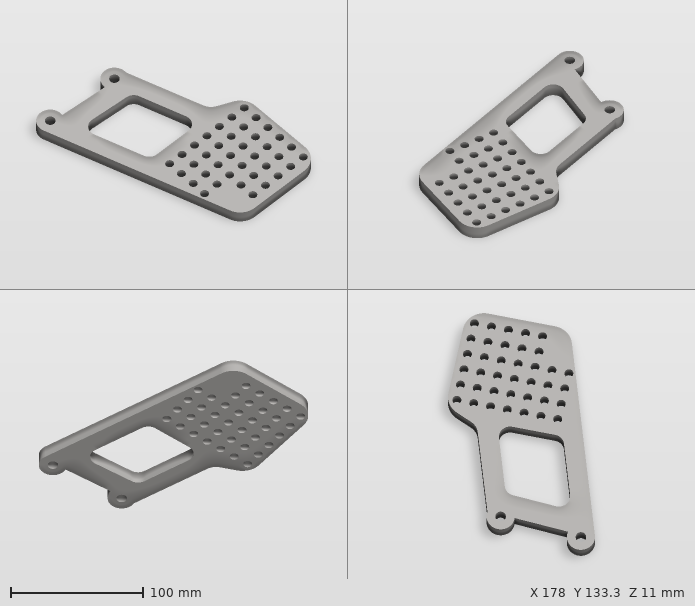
import cadquery as cq
import math

length = 178.0
width = 133.3
thickness = 11.0
slope = math.radians(18)

ear_radius = 10.7
ear_hole_diameter = 8.0
lower_ear = (ear_radius, ear_radius)
upper_ear = (15.0, 73.7)
lean = (upper_ear[0] - lower_ear[0]) / (upper_ear[1] - lower_ear[1])

left_edge_offset = 1.6
upper_edge_start = (upper_ear[0] + left_edge_offset, 84.2)
neck_corner = (85.0, 106.5)
head_corner = (96.8, width)
head_radius = 16.0
neck_radius = 12.5

window_offset = 19.5
window_right = 89.7
window_top_right = 91.8
window_bottom_right = 41.0
window_radius = 8.5

perforation_diameter = 6.8
first_column_x = 102.8
top_row_y = 125.8
column_pitch = 13.0
row_pitch = 13.0
wide_row_pitch = 13.2
middle_row_pitch = (row_pitch + wide_row_pitch) / 2
columns = [(7, row_pitch)] * 3 + [(7, middle_row_pitch)] + [(5, wide_row_pitch)] * 2


def ear_line_x(y):
    """X of the line through both ear centres at height y."""
    return lower_ear[0] + lean * (y - lower_ear[1])


def window_left_corner(right_y):
    """Where a sloped window side, ending at right_y on the right, meets the left side."""
    left_at_zero = ear_line_x(0) + window_offset
    rise = math.tan(slope)
    y = (right_y - rise * (window_right - left_at_zero)) / (1 - rise * lean)
    return (left_at_zero + lean * y, y)


def round_corner(body, corner, radius):
    """Round the vertical edge of body nearest to the given corner."""
    edge = cq.selectors.NearestToPointSelector((*corner, thickness / 2))
    return body.edges("|Z").edges(edge).fillet(radius)


def make_body():
    tangent = (
        lower_ear[0] + ear_radius * math.sin(slope),
        lower_ear[1] - ear_radius * math.cos(slope),
    )
    right_corner = (length, tangent[1] + (length - tangent[0]) * math.tan(slope))
    top_right = (length, width)
    outline = [
        tangent,
        right_corner,
        top_right,
        head_corner,
        neck_corner,
        upper_edge_start,
        (upper_ear[0] + left_edge_offset, upper_ear[1]),
        (lower_ear[0] + left_edge_offset, lower_ear[1]),
    ]
    body = cq.Workplane("XY").polyline(outline).close().extrude(thickness)
    for corner in (right_corner, top_right, head_corner):
        body = round_corner(body, corner, head_radius)
    body = round_corner(body, neck_corner, neck_radius)
    ears = cq.Workplane("XY").pushPoints([lower_ear, upper_ear]).circle(ear_radius).extrude(thickness)
    return body.union(ears)


def make_window():
    outline = [
        (window_right, window_bottom_right),
        (window_right, window_top_right),
        window_left_corner(window_top_right),
        window_left_corner(window_bottom_right),
    ]
    window = cq.Workplane("XY").polyline(outline).close().extrude(thickness)
    return window.edges("|Z").fillet(window_radius)


def make_holes(points, diameter):
    return cq.Workplane("XY").pushPoints(points).circle(diameter / 2).extrude(thickness)


perforations = []
for column, (count, pitch) in enumerate(columns):
    for row in range(count):
        perforations.append((first_column_x + column * column_pitch, top_row_y - row * pitch))

result = (
    make_body()
    .cut(make_window())
    .cut(make_holes([lower_ear, upper_ear], ear_hole_diameter))
    .cut(make_holes(perforations, perforation_diameter))
)